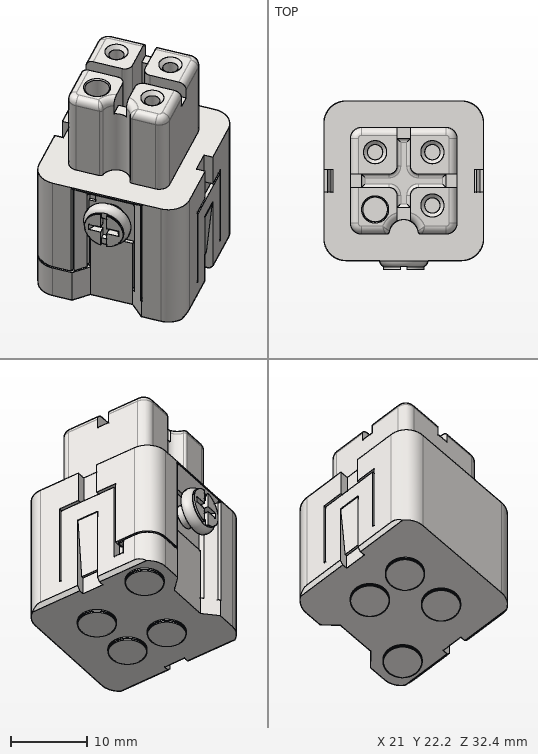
import cadquery as cq

total_height = 32.4
body_width = 21.0
body_bottom = 0.45
body_top = 20.12
body_corner_radius = 2.95
base_chamfer_width = 0.5
base_chamfer_height = 0.58

tower_width = 14.0
tower_corner_radius = 1.45
tower_top_fillet = 1.05
key_groove_radius = 1.9
key_groove_lip_radius = 0.4

cross_slot_width = 1.75
cross_slot_depth = 2.45
cross_pit_depth = 9.72
cross_pit_reach = 5.55
cross_pit_front_reach = 3.5
cross_pit_floor_fillet = 0.5
cross_corner_radius = 1.07

contact_centers = [(-3.75, 3.75), (3.75, 3.75), (3.75, -3.25)]
contact_hole_radius = 1.0
contact_mouth_radius = 1.52
ground_center = (-3.75, -3.75)
ground_hole_radius = 1.62
ground_mouth_radius = 1.78
hole_depth = 9.72

latch_half_width = 4.25
latch_top = 14.97
latch_gap_side = 0.25
latch_gap_top = 0.5
latch_gap_bottom = 3.15
latch_gap_depth = 1.23
latch_tip_thickness = 0.5
latch_slope_foot = 0.97
latch_back_slope_height = 2.6
entry_slot_width = 2.95
window_width = 3.18
window_top = 12.15
window_depth_top = 0.1
window_depth_bottom = 0.95
wedge_front_edge = 5.8
wedge_back_edge = 4.83

parting_bottom = 5.28
parting_top = 5.5
parting_depth = 0.25

recess_mouth_half = 4.83
recess_depth = 1.88
recess_top = 19.9
recess_floor_half = recess_mouth_half - recess_depth
panel_top = 11.15
side_gap_outer = 3.3
side_gap_depth = 2.43
edge_gap_inner = 4.63
edge_gap_outer = 4.95
edge_gap_depth = 0.65
screw_window_top = 18.05
screw_window_depth = 2.35
window_step_x = -2.4
window_step_bottom = 16.52
window_step_depth = 0.32

screw_height = 15.05
screw_head_radius = 3.15
screw_face_radius = 2.7
screw_neck_radius = 2.55
screw_face_y = -11.65
screw_face_thickness = 0.32
screw_dome_bulge = 0.32
screw_underside_y = -9.82
screw_shank_radius = 1.62
driver_recess_width = 0.85
driver_recess_depth = 0.97
driver_floor_half = 1.6
driver_flat_half = 2.1
driver_upright_half = 1.8
driver_slot_depth = 0.4

stud_centers = [(-3.47, 3.47), (3.47, 3.47), (3.47, -2.85), (-6.8, -6.58)]
stud_radius = 2.6
stud_tip_radius = 2.53
stud_tip_height = 0.23

body_half = body_width / 2
tower_half = tower_width / 2
tower_height = total_height - body_top
overrun = 0.32


def block(x0, x1, y0, y1, z0, z1):
    """Axis-aligned box from its limits."""
    return cq.Workplane("XY").box(x1 - x0, y1 - y0, z1 - z0, centered=False).translate((x0, y0, z0))


def rounded_block(width, radius, z0, z1):
    """Square block centred on Z with rounded upright edges."""
    return (
        cq.Workplane("XY", origin=(0, 0, z0))
        .rect(width, width)
        .extrude(z1 - z0)
        .edges("|Z")
        .fillet(radius)
    )


def make_body():
    body = rounded_block(body_width, body_corner_radius, body_bottom, body_top)
    corner = (
        cq.Workplane("XZ", origin=(0, body_half, 0))
        .moveTo(-body_half, body_bottom)
        .lineTo(-body_half + base_chamfer_width, body_bottom)
        .lineTo(-body_half, body_bottom + base_chamfer_height)
        .close()
        .extrude(body_width)
    )
    return body.cut(corner).cut(corner.mirror("YZ"))


def make_tower():
    tower = rounded_block(tower_width, tower_corner_radius, body_top, total_height)
    key_groove = (
        cq.Workplane("XY", origin=(0, -tower_half, body_top))
        .circle(key_groove_radius)
        .extrude(tower_height)
    )
    tower = tower.cut(key_groove)
    lips = tower.edges(
        cq.selectors.BoxSelector(
            (-key_groove_radius - overrun, -tower_half - overrun, body_top),
            (key_groove_radius + overrun, -tower_half + overrun, total_height),
        )
    ).edges("|Z")
    tower = lips.fillet(key_groove_lip_radius)
    return tower.faces(">Z").edges().fillet(tower_top_fillet)


def cross_outline(left_right, back, front, depth):
    """Plus-shaped solid with rounded inner corners, reaching down from the tower top."""
    half = cross_slot_width / 2
    along_x = block(-left_right, left_right, -half, half, total_height - depth, total_height)
    along_y = block(-half, half, -front, back, total_height - depth, total_height)
    plus = along_x.union(along_y)
    near = half + overrun
    inner = cq.selectors.BoxSelector((-near, -near, 0), (near, near, total_height))
    return plus.edges("|Z").edges(inner).fillet(cross_corner_radius)


def cut_cross_slot(tower):
    reach = tower_half + overrun
    slot = cross_outline(reach, reach, reach, cross_slot_depth)
    pit = cross_outline(cross_pit_reach, cross_pit_reach, cross_pit_front_reach, cross_pit_depth)
    pit = pit.faces("<Z").edges().fillet(cross_pit_floor_fillet)
    return tower.cut(slot).cut(pit)


def contact_hole(center, hole_radius, mouth_radius):
    """Blind hole with a 45 degree countersunk mouth."""
    sink = mouth_radius - hole_radius
    return (
        cq.Workplane("XZ")
        .moveTo(0, total_height)
        .lineTo(mouth_radius, total_height)
        .lineTo(hole_radius, total_height - sink)
        .lineTo(hole_radius, total_height - hole_depth)
        .lineTo(0, total_height - hole_depth)
        .close()
        .revolve(360, (0, 0), (0, 1))
        .translate((center[0], center[1], 0))
    )


def latch_cutter():
    """Everything removed around the latch on the -X side, except the parting pocket."""
    wall = -body_half
    gap_outer = latch_half_width + latch_gap_side
    gap_top = latch_top + latch_gap_top
    slope_bottom = latch_top - latch_back_slope_height
    outer = block(wall - overrun, wall + latch_gap_depth, -gap_outer, gap_outer, latch_gap_bottom, gap_top)
    tongue = (
        cq.Workplane("XZ", origin=(0, latch_half_width, 0))
        .moveTo(wall - overrun, latch_gap_bottom)
        .lineTo(wall + latch_gap_depth, latch_gap_bottom)
        .lineTo(wall + latch_gap_depth, slope_bottom)
        .lineTo(wall + latch_slope_foot, slope_bottom)
        .lineTo(wall + latch_tip_thickness, latch_top)
        .lineTo(wall - overrun, latch_top)
        .close()
        .extrude(2 * latch_half_width)
    )
    half_entry = entry_slot_width / 2
    entry = block(
        wall - overrun, wall + latch_gap_depth, -half_entry, half_entry, latch_top, body_top + overrun
    )
    half_window = window_width / 2
    window = (
        cq.Workplane("XZ", origin=(0, half_window, 0))
        .moveTo(wall - overrun, window_top)
        .lineTo(wall + window_depth_top, window_top)
        .lineTo(wall + window_depth_bottom, latch_gap_bottom)
        .lineTo(wall + latch_gap_depth, latch_gap_bottom)
        .lineTo(wall + latch_gap_depth, body_bottom - overrun)
        .lineTo(wall - overrun, body_bottom - overrun)
        .close()
        .extrude(window_width)
    )
    return outer.cut(tongue).union(entry).union(window)


def parting_pocket():
    """Widened front leg of the -X latch gap, with a wedge sloping out to the face."""
    wall = -body_half
    floor = wall + latch_gap_depth
    leg = block(wall, floor, -wedge_back_edge, -latch_half_width, latch_gap_bottom, parting_top)
    wedge = (
        cq.Workplane("XY", origin=(0, 0, latch_gap_bottom))
        .moveTo(wall, -wedge_back_edge)
        .lineTo(wall, -wedge_front_edge)
        .lineTo(floor, -wedge_back_edge)
        .close()
        .extrude(parting_bottom - latch_gap_bottom)
    )
    return leg.union(wedge)


def parting_line():
    """Shallow groove from the latch gap round the front-left corner to the front recess."""
    region = block(
        -body_half, -recess_mouth_half, -body_half, -latch_half_width, parting_bottom, parting_top
    )
    core = rounded_block(
        body_width - 2 * parting_depth, body_corner_radius - parting_depth, parting_bottom, parting_top
    )
    across_slope = block(
        -edge_gap_outer,
        -recess_floor_half,
        -body_half,
        -body_half + recess_depth + parting_depth,
        parting_bottom,
        parting_top,
    )
    return region.cut(core).union(across_slope)


def front_cut(x0, x1, z0, z1, depth):
    """Box cut inwards from the front face."""
    return block(x0, x1, -body_half - overrun, -body_half + depth, z0, z1)


def recess_cutter():
    channel = (
        cq.Workplane("XY")
        .moveTo(-recess_mouth_half, -body_half)
        .lineTo(-recess_floor_half, -body_half + recess_depth)
        .lineTo(recess_floor_half, -body_half + recess_depth)
        .lineTo(recess_mouth_half, -body_half)
        .close()
        .extrude(recess_top)
    )
    roof = (
        cq.Workplane("YZ", origin=(-recess_mouth_half, 0, 0))
        .moveTo(-body_half, recess_top)
        .lineTo(-body_half + recess_depth, recess_top)
        .lineTo(-body_half + recess_depth, recess_top - recess_depth)
        .close()
        .extrude(2 * recess_mouth_half)
    )
    cutter = channel.cut(roof)
    for side, gap_bottom in ((-1, parting_top), (1, latch_gap_bottom)):
        edges = sorted((side * edge_gap_inner, side * edge_gap_outer))
        cutter = cutter.union(front_cut(*edges, gap_bottom, recess_top, edge_gap_depth))
        sides = sorted((side * recess_floor_half, side * side_gap_outer))
        cutter = cutter.union(front_cut(*sides, gap_bottom, panel_top, side_gap_depth))
    screw_window = front_cut(
        -side_gap_outer, side_gap_outer, panel_top, screw_window_top, screw_window_depth
    )
    step = front_cut(
        -side_gap_outer,
        window_step_x,
        window_step_bottom,
        screw_window_top,
        screw_window_depth + window_step_depth,
    )
    return cutter.union(screw_window).union(step)


def recess_arm(top_half, bottom_half):
    """Arm of the driver recess with sloping ends, lying along X in the screw face."""
    return (
        cq.Workplane("XY", origin=(0, 0, screw_height - driver_recess_width / 2))
        .moveTo(-top_half, screw_face_y)
        .lineTo(top_half, screw_face_y)
        .lineTo(bottom_half, screw_face_y + driver_recess_depth)
        .lineTo(-bottom_half, screw_face_y + driver_recess_depth)
        .close()
        .extrude(driver_recess_width)
    )


def make_screw():
    seat_y = -body_half + screw_window_depth + window_step_depth
    neck_y = screw_face_y + screw_face_thickness
    neck = (screw_neck_radius, neck_y)
    head = (
        cq.Workplane("XY")
        .moveTo(0, seat_y)
        .lineTo(screw_shank_radius, seat_y)
        .lineTo(screw_shank_radius, screw_underside_y)
        .lineTo(screw_head_radius, screw_underside_y)
        .sagittaArc(neck, screw_dome_bulge)
        .lineTo(screw_face_radius, neck_y)
        .lineTo(screw_face_radius, screw_face_y)
        .lineTo(0, screw_face_y)
        .close()
        .revolve(360, (0, 0), (0, 1))
        .translate((0, 0, screw_height))
    )
    flat_arm = recess_arm(driver_flat_half, driver_floor_half)
    upright_arm = recess_arm(driver_upright_half, driver_floor_half).rotate(
        (0, 0, screw_height), (0, 1, screw_height), 90
    )
    half_slot = driver_recess_width / 2
    open_slot = block(
        -half_slot,
        half_slot,
        screw_face_y,
        screw_face_y + driver_slot_depth,
        screw_height - screw_face_radius,
        screw_height + screw_face_radius,
    )
    return head.cut(flat_arm).cut(upright_arm).cut(open_slot)


def make_studs():
    return (
        cq.Workplane("XY")
        .pushPoints(stud_centers)
        .circle(stud_tip_radius)
        .extrude(body_bottom + overrun)
        .union(
            cq.Workplane("XY", origin=(0, 0, stud_tip_height))
            .pushPoints(stud_centers)
            .circle(stud_radius)
            .extrude(body_bottom - stud_tip_height)
        )
    )


result = make_body().union(cut_cross_slot(make_tower()))
for contact_center in contact_centers:
    result = result.cut(contact_hole(contact_center, contact_hole_radius, contact_mouth_radius))
result = result.cut(contact_hole(ground_center, ground_hole_radius, ground_mouth_radius))

latch = latch_cutter()
result = result.cut(latch).cut(latch.mirror("YZ"))
result = result.cut(parting_pocket()).cut(parting_line())
result = result.cut(recess_cutter()).union(make_screw()).union(make_studs())